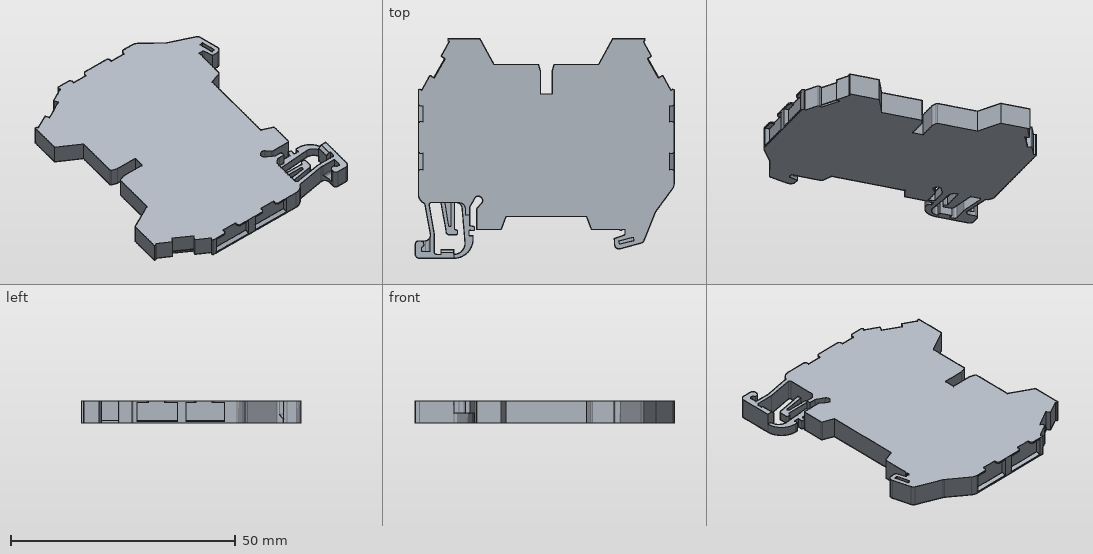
import cadquery as cq
import math

TOTAL_WIDTH = 57.85
TOTAL_HEIGHT = 49.05
THICKNESS = 5.0

BODY_HALF_WIDTH = 28.55
CLIP_LEFT = BODY_HALF_WIDTH - TOTAL_WIDTH
SIDE_TOP = 37.65
SHOULDER_Y = 43.3
RAIL_SEAT_Y = 6.4
RAIL_RECESS_Y = 9.3
RAIL_RECESS_HALF = 8.95
RAIL_RECESS_RUN = 1.1
SLOT_HALF_WIDTH = 1.3
SLOT_FLOOR_Y = 36.7
HORN_TIP_X = 22.0

NOTCH_TOP = (22.55, 44.55)
NOTCH_BOTTOM = (25.0, 40.25)
FLANGE_WIDTH = 0.2
FLANGE_THICKNESS = 0.6

POCKETS = ((27.65, 36.65, 30.55, 34.0), (17.05, 25.75, 19.85, 23.4))
POCKET_DEPTH = 1.05
POCKET_BOTTOM_Z = 0.35
POCKET_TOP_Z = 4.6
POCKET_FLOOR_RISE = 0.25
WINDOW_FLARE = 0.4

ARM_THICKNESS_Z = 2.25
CLIP_STEP_X = -20.65
WINDOW_LEFT = -25.0
WINDOW_RIGHT = -18.15
WINDOW_TOP_Y = 12.45
WINDOW_FLOOR_Y = 0.9
BODY_TAB_X = -18.05
BODY_TAB_Y = 9.7
BODY_TAB_ROUND = 1.45
GAP_LEFT = -17.05
GAP_RIGHT = -15.55
ARM_WAIST_X = -17.25
ARM_TOE_X = -16.3
ARM_NOSE_X = -16.0
ARM_RELIEF_TOP_Y = 7.8
LEFT_ARM_X = -25.9

HOOK_TOP_Y = 3.95
HOOK_SLOT_LEFT = -27.9
HOOK_SLOT_MOUTH_X = -28.1
HOOK_SLOT_Y = 1.55
HOOK_SLOT_TOP_Y = 5.25
HOOK_WEB_Z = 1.0
HOOK_WEB_ROUND = 1.05

TONGUE_THICKNESS = 1.95
TONGUE_RIGHT = -20.5
TONGUE_NOSE_X = -19.8
TONGUE_TIP_Y = 5.25
TONGUE_GROOVE_FLOOR_Z = 0.6
TONGUE_GROOVE_RIGHT = -21.2
TONGUE_GROOVE_END_Y = 7.15
BLOCK_LEFT = -23.55
BLOCK_CHAMFER_Y = 1.3
BLOCK_BACK_Y = 1.95

FOOT_LIP = 0.2
FOOT_SLOT_CENTER = (17.85, 3.95)
FOOT_SLOT_LENGTH = 3.35
FOOT_SLOT_WIDTH = 0.75
FOOT_SLOT_ANGLE = 14.0
FOOT_SLOT_DEPTH = 1.15


def mirrored(corners):
    """Mirror corners about X = 0, reversed so the outline keeps its direction."""
    return [(-corner[0], *corner[1:]) for corner in reversed(corners)]


def corner_arc(before, corner, after, radius):
    """Start, middle and end of the arc that rounds one outline corner."""
    x, y = corner
    angle_in = math.atan2(before[1] - y, before[0] - x)
    angle_out = math.atan2(after[1] - y, after[0] - x)
    opening = (angle_out - angle_in) % (2 * math.pi)
    half = opening / 2
    bisector = angle_in + half
    if half > math.pi / 2:
        half = math.pi - half
        bisector += math.pi
    tangent = radius / math.tan(half)
    to_middle = radius / math.sin(half) - radius

    def along(angle, distance):
        return (x + distance * math.cos(angle), y + distance * math.sin(angle))

    return along(angle_in, tangent), along(bisector, to_middle), along(angle_out, tangent)


def prism(corners, bottom, top):
    """Extrude an outline between two Z levels; a corner (x, y, r) is rounded by r."""
    points = [corner[:2] for corner in corners]
    path = cq.Workplane("XY").workplane(offset=bottom)
    started = False
    for i, corner in enumerate(corners):
        if len(corner) == 3:
            after = points[(i + 1) % len(points)]
            start, middle, end = corner_arc(points[i - 1], points[i], after, corner[2])
            path = path.lineTo(*start) if started else path.moveTo(*start)
            path = path.threePointArc(middle, end)
        else:
            path = path.lineTo(*points[i]) if started else path.moveTo(*points[i])
        started = True
    return path.close().extrude(top - bottom)


def plate():
    """Full-thickness outline, clockwise from the left side wall."""
    upper_left = [
        (-BODY_HALF_WIDTH, SIDE_TOP, 0.1),
        (-28.15, SIDE_TOP + 0.1),
        (-27.8, SIDE_TOP - 0.1),
        (-25.95, 40.9, 0.25),
        (-NOTCH_BOTTOM[0], NOTCH_BOTTOM[1]),
        (-NOTCH_TOP[0], NOTCH_TOP[1]),
        (-23.5, 45.1),
        (-21.7, 48.4),
        (-HORN_TIP_X, 48.6),
        (-HORN_TIP_X, TOTAL_HEIGHT),
        (-14.8, TOTAL_HEIGHT),
        (-11.7, SHOULDER_Y),
        (-1.75, SHOULDER_Y, 0.3),
        (-SLOT_HALF_WIDTH, 41.75),
        (-SLOT_HALF_WIDTH, SLOT_FLOOR_Y),
    ]
    right_foot = [
        (BODY_HALF_WIDTH, 16.1, 2.3),
        (24.4, 10.4, 1.75),
        (21.6, 3.5, 1.05),
        (15.25, 1.8, 1.05),
        (15.15, 4.45),
        (17.5, 5.25, 0.25),
        (17.5, RAIL_SEAT_Y),
        (16.95, RAIL_SEAT_Y),
        (16.8, RAIL_SEAT_Y - FOOT_LIP),
        (16.5, RAIL_SEAT_Y - FOOT_LIP),
        (16.35, RAIL_SEAT_Y),
    ]
    rail_recess_right = [
        (RAIL_RECESS_HALF + RAIL_RECESS_RUN, RAIL_SEAT_Y, 0.3),
        (RAIL_RECESS_HALF, RAIL_RECESS_Y),
    ]
    flex_gap = [
        (GAP_RIGHT, RAIL_SEAT_Y, 0.2),
        (GAP_RIGHT, 11.1, 0.6),
        (-13.9, 12.95, 0.85),
        (-15.4, 14.4, 0.85),
        (GAP_LEFT, 11.45, 0.3),
    ]
    clip_arm = [
        (GAP_LEFT, 7.35),
        (ARM_NOSE_X, 7.1, 0.25),
        (ARM_NOSE_X, 6.2, 0.25),
        (ARM_WAIST_X, 6.25),
        (ARM_WAIST_X, 5.1),
        (ARM_TOE_X, 5.1, 0.2),
        (ARM_TOE_X, 0, ARM_TOE_X - CLIP_STEP_X),
    ]
    hook = [
        (CLIP_LEFT, 0, 1.0),
        (CLIP_LEFT, HOOK_TOP_Y, 0.8),
        (-25.6, HOOK_TOP_Y, 1.2),
        (-27.2, WINDOW_TOP_Y, 0.6),
        (-27.7, 12.5),
        (-BODY_HALF_WIDTH, 13.6, 2.2),
    ]
    corners = upper_left + mirrored(upper_left) + right_foot + rail_recess_right
    corners += mirrored(rail_recess_right) + flex_gap + clip_arm + hook
    return prism(corners, 0, THICKNESS)


def notch_flange(side):
    """Thin strip along the bottom of a flank notch; side is -1 left or 1 right."""
    corners = [
        (side * NOTCH_TOP[0], NOTCH_TOP[1]),
        (side * (NOTCH_TOP[0] + FLANGE_WIDTH), NOTCH_TOP[1]),
        (side * (NOTCH_BOTTOM[0] + FLANGE_WIDTH), NOTCH_BOTTOM[1]),
        (side * NOTCH_BOTTOM[0], NOTCH_BOTTOM[1]),
    ]
    return prism(corners, 0, FLANGE_THICKNESS)


def marker_pocket(side, bottom, top, window_bottom, window_top):
    """Side pocket with a sloping floor and a flared window through the lip above it."""
    outer = side * BODY_HALF_WIDTH
    inner = side * (BODY_HALF_WIDTH - POCKET_DEPTH)
    flare_end = side * (BODY_HALF_WIDTH - WINDOW_FLARE)
    section = [
        (outer, POCKET_BOTTOM_Z),
        (outer, POCKET_TOP_Z),
        (inner, POCKET_TOP_Z),
        (inner, POCKET_BOTTOM_Z + POCKET_FLOOR_RISE),
    ]
    pocket = cq.Workplane("XZ", origin=(0, top, 0)).polyline(section).close().extrude(top - bottom)
    window = [
        (outer, window_bottom - WINDOW_FLARE),
        (flare_end, window_bottom),
        (inner, window_bottom),
        (inner, window_top),
        (flare_end, window_top),
        (outer, window_top + WINDOW_FLARE),
    ]
    return pocket.union(prism(window, POCKET_BOTTOM_Z + POCKET_FLOOR_RISE, THICKNESS))


def clip_window():
    """Opening between the two clip arms, through the whole thickness."""
    corners = [
        (WINDOW_LEFT, WINDOW_FLOOR_Y, 0.5),
        (WINDOW_LEFT, 5.5),
        (-26.2, WINDOW_TOP_Y, 0.4),
        (-18.9, WINDOW_TOP_Y, 1.3),
        (WINDOW_RIGHT, 3.45),
        (WINDOW_RIGHT, WINDOW_FLOOR_Y, 2.4),
    ]
    return prism(corners, 0, THICKNESS)


def arm_relief():
    """Material removed above the thin right arm, below the tab of the body."""
    above_arm = [
        (CLIP_STEP_X, 0),
        (CLIP_STEP_X, BODY_TAB_Y),
        (GAP_LEFT, BODY_TAB_Y),
        (GAP_LEFT, ARM_RELIEF_TOP_Y),
        (GAP_RIGHT, ARM_RELIEF_TOP_Y),
        (GAP_RIGHT, 0),
    ]
    beside_tab = [
        (CLIP_STEP_X, 0),
        (CLIP_STEP_X, WINDOW_TOP_Y),
        (BODY_TAB_X, WINDOW_TOP_Y, BODY_TAB_ROUND),
        (BODY_TAB_X, 0),
    ]
    relief = prism(above_arm, ARM_THICKNESS_Z, THICKNESS)
    return relief.union(prism(beside_tab, ARM_THICKNESS_Z, THICKNESS))


def tongue():
    """Tapered tongue hanging in the clip window, with a blind groove."""
    outline = [
        (-23.55, WINDOW_TOP_Y),
        (TONGUE_RIGHT, WINDOW_TOP_Y),
        (TONGUE_RIGHT, 6.55),
        (TONGUE_NOSE_X, 6.25, 0.35),
        (TONGUE_NOSE_X, TONGUE_TIP_Y, 0.4),
        (-22.3, TONGUE_TIP_Y, 0.7),
        (-22.45, 6.5),
    ]
    groove = [
        (-22.6, WINDOW_TOP_Y),
        (TONGUE_GROOVE_RIGHT, WINDOW_TOP_Y),
        (TONGUE_GROOVE_RIGHT, TONGUE_GROOVE_END_Y, 0.25),
        (-21.8, TONGUE_GROOVE_END_Y, 0.25),
    ]
    body = prism(outline, 0, TONGUE_THICKNESS)
    return body.cut(prism(groove, TONGUE_GROOVE_FLOOR_Z, TONGUE_THICKNESS))


def window_block():
    """Block on the floor of the clip window with a 45 degree chamfer."""
    section = [
        (WINDOW_FLOOR_Y, 0),
        (BLOCK_BACK_Y, 0),
        (BLOCK_BACK_Y, THICKNESS - (BLOCK_BACK_Y - BLOCK_CHAMFER_Y)),
        (BLOCK_CHAMFER_Y, THICKNESS),
        (WINDOW_FLOOR_Y, THICKNESS),
    ]
    block = cq.Workplane("YZ", origin=(BLOCK_LEFT, 0, 0)).polyline(section).close()
    return block.extrude(CLIP_STEP_X - BLOCK_LEFT)


def hook_slot():
    """Slot behind the hook, down to a web that curves up into the left arm."""
    outline = [
        (LEFT_ARM_X, HOOK_SLOT_Y),
        (HOOK_SLOT_LEFT, HOOK_SLOT_Y, 0.3),
        (HOOK_SLOT_LEFT, 2.35, 0.2),
        (-27.3, 2.9, 0.25),
        (-27.4, 3.65, 0.3),
        (HOOK_SLOT_MOUTH_X, HOOK_TOP_Y),
        (HOOK_SLOT_MOUTH_X, HOOK_SLOT_TOP_Y),
        (LEFT_ARM_X, HOOK_SLOT_TOP_Y),
    ]
    slot = prism(outline, HOOK_WEB_Z, THICKNESS)
    return slot.faces("<Z").edges(">X").fillet(HOOK_WEB_ROUND)


def foot_slot():
    """Blind slanted slot in the upper face of the right foot."""
    face = cq.Workplane("XY", origin=(*FOOT_SLOT_CENTER, THICKNESS))
    slot = face.transformed(rotate=(0, 0, FOOT_SLOT_ANGLE)).rect(FOOT_SLOT_LENGTH, FOOT_SLOT_WIDTH)
    return slot.extrude(-FOOT_SLOT_DEPTH)


result = plate().cut(clip_window()).cut(arm_relief()).cut(hook_slot()).cut(foot_slot())
for side in (-1, 1):
    result = result.union(notch_flange(side))
    for pocket_limits in POCKETS:
        result = result.cut(marker_pocket(side, *pocket_limits))
result = result.union(tongue()).union(window_block())